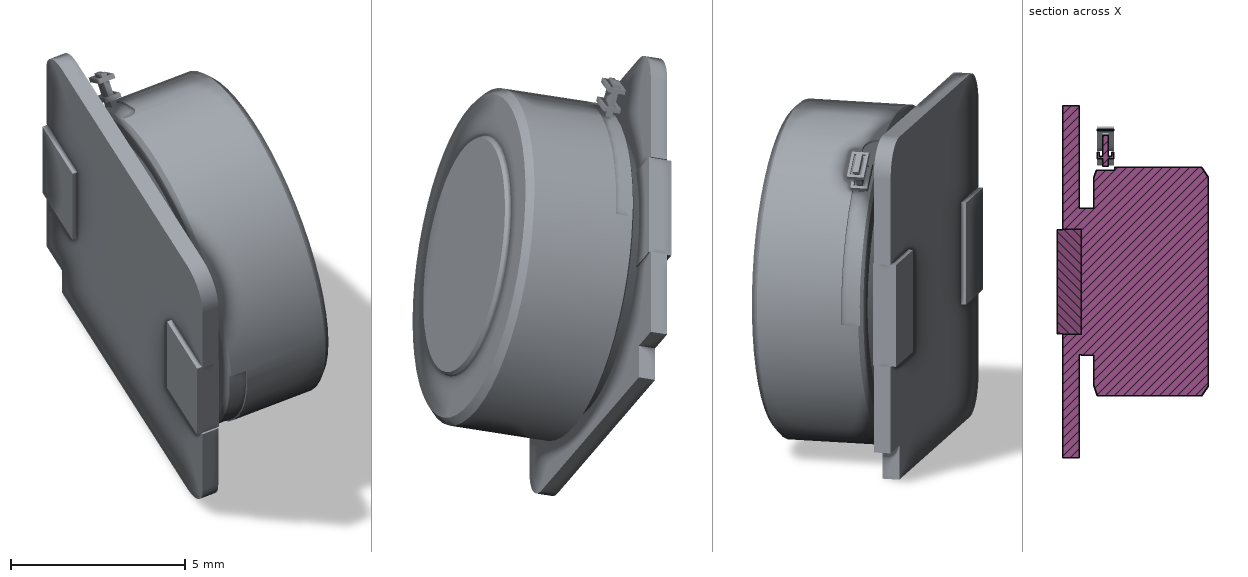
import cadquery as cq

BASE_SIDE = 10.1
BASE_THICKNESS = 0.5
BASE_CORNER_RADIUS = 1.0
KEY_NOTCH = 1.0

PAD_STANDOFF = 0.15
PAD_LENGTH = 1.95
PAD_WIDTH = 3.0
PAD_EDGE_GAP = 0.05
PAD_TOP_RISE = 0.04

NECK_RADIUS = 4.2
NECK_HEIGHT = 0.4
RING_RADIUS = 4.9
RING_HEIGHT = 3.3
RING_LOWER_CHAMFER_HEIGHT = 0.1
RING_LOWER_CHAMFER_WIDTH = 0.2
RING_UPPER_CHAMFER = 0.2
CAP_RADIUS = 3.5
CAP_HEIGHT = 0.15
CAP_CHAMFER = 0.1

RECESS_DEPTH = 0.06
RECESS_TOP_ABOVE_RING = 0.6
RECESS_CORNER_RADIUS = 0.35
RECESS_LOW_Z = -0.4
RECESS_END_X = -2.07

LUG_ANGLE = 134.0
LUG_FLANGE_HEIGHT = 0.5
LUG_ABOVE_RING = 0.34
LUG_FLANGE_WIDTH = 0.86
LUG_FLANGE_THICKNESS = 0.14
LUG_RIM_WIDTH = 0.08
LUG_RIM_HEIGHT = 0.08
LUG_FLANGE_RADII = (5.05, 5.63)
LUG_STEM_WIDTH = 0.62
LUG_STEM_HEIGHT = 0.17
LUG_STEM_INNER_RADIUS = 4.7
LUG_OUTER_RADIUS = 5.85

base_bottom = PAD_STANDOFF
base_top = base_bottom + BASE_THICKNESS
ring_bottom = base_top + NECK_HEIGHT
ring_top = ring_bottom + RING_HEIGHT
cap_top = ring_top + CAP_HEIGHT
pad_height = base_top + PAD_TOP_RISE

pad_outer_x = BASE_SIDE / 2 - PAD_EDGE_GAP
pad_inner_x = pad_outer_x - PAD_LENGTH

SIDES = (-1, 1)
RECESS_TURNS = (0, 180)


def box_between(x_range, y_range, z_range):
    """Box spanning the given ranges along X, Y and Z."""
    low, high = zip(x_range, y_range, z_range)
    size = [b - a for a, b in zip(low, high)]
    return cq.Workplane("XY").box(*size, centered=False).translate(low)


def make_base():
    """Square plate with three rounded corners and one stepped key corner."""
    half = BASE_SIDE / 2
    plate = (
        cq.Workplane("XY")
        .box(BASE_SIDE, BASE_THICKNESS, BASE_SIDE)
        .translate((0, (base_bottom + base_top) / 2, 0))
    )
    plate = plate.edges("|Y").edges(">X or >Z").fillet(BASE_CORNER_RADIUS)
    notch = box_between((-half, -half + KEY_NOTCH), (base_bottom, base_top), (-half, -half + KEY_NOTCH))
    return plate.cut(notch)


def make_core():
    """Turned neck, chamfered ring and raised cap."""
    profile = (
        cq.Workplane("XY")
        .moveTo(0, base_top)
        .lineTo(NECK_RADIUS, base_top)
        .lineTo(NECK_RADIUS, ring_bottom)
        .lineTo(RING_RADIUS - RING_LOWER_CHAMFER_WIDTH, ring_bottom)
        .lineTo(RING_RADIUS, ring_bottom + RING_LOWER_CHAMFER_HEIGHT)
        .lineTo(RING_RADIUS, ring_top - RING_UPPER_CHAMFER)
        .lineTo(RING_RADIUS - RING_UPPER_CHAMFER, ring_top)
        .lineTo(CAP_RADIUS, ring_top)
        .lineTo(CAP_RADIUS - CAP_CHAMFER, cap_top)
        .lineTo(0, cap_top)
        .close()
    )
    return profile.revolve(360, (0, 0, 0), (0, 1, 0))


def make_side_recess():
    """Shallow band cut into the lower rim of the ring on its -X, +Z quarter."""
    recess_top = ring_bottom + RECESS_TOP_ABOVE_RING
    outline = box_between(
        (-BASE_SIDE, RECESS_END_X), (ring_bottom, recess_top), (RECESS_LOW_Z, BASE_SIDE)
    )
    outline = outline.edges("|Z and >X and >Y").fillet(RECESS_CORNER_RADIUS)
    floor = (
        cq.Workplane("XZ")
        .circle(RING_RADIUS - RECESS_DEPTH)
        .extrude(-2 * ring_top)
    )
    return outline.cut(floor)


def make_lug_flange(inner_radius, center_y):
    """Thin rectangular flange with a raised rim along its outward edge."""
    outer_radius = inner_radius + LUG_FLANGE_THICKNESS
    half_height = LUG_FLANGE_HEIGHT / 2
    half_width = LUG_FLANGE_WIDTH / 2
    flange = box_between(
        (inner_radius, outer_radius),
        (center_y - half_height, center_y + half_height),
        (-half_width, half_width),
    )
    hollow_half_height = half_height - LUG_RIM_WIDTH
    hollow_half_width = half_width - LUG_RIM_WIDTH
    hollow = box_between(
        (outer_radius - LUG_RIM_HEIGHT, outer_radius),
        (center_y - hollow_half_height, center_y + hollow_half_height),
        (-hollow_half_width, hollow_half_width),
    )
    return flange.cut(hollow)


def make_lug():
    """Small lug standing out radially from the recess floor: a flat stem with flanges."""
    center_y = ring_bottom + LUG_ABOVE_RING
    lug = box_between(
        (LUG_STEM_INNER_RADIUS, LUG_OUTER_RADIUS),
        (center_y - LUG_STEM_HEIGHT / 2, center_y + LUG_STEM_HEIGHT / 2),
        (-LUG_STEM_WIDTH / 2, LUG_STEM_WIDTH / 2),
    )
    for inner_radius in LUG_FLANGE_RADII:
        lug = lug.union(make_lug_flange(inner_radius, center_y))
    return lug.rotate((0, 0, 0), (0, 1, 0), -LUG_ANGLE)


def make_pad_block(side, outer_x):
    """Pad-sized block reaching out to outer_x; side is -1 for -X and +1 for +X."""
    x_range = sorted((side * outer_x, side * pad_inner_x))
    return box_between(x_range, (0, pad_height), (-PAD_WIDTH / 2, PAD_WIDTH / 2))


def make_pad(side):
    """Terminal block set through the plate, just inside the plate's edge."""
    return make_pad_block(side, pad_outer_x)


def make_pad_opening(side):
    """Opening for one pad, running out through the plate's edge."""
    return make_pad_block(side, BASE_SIDE / 2)


def make_housing():
    """Plate, core and lug as one solid, with the rim recesses and pad openings cut."""
    housing = make_base().union(make_core())
    for turn in RECESS_TURNS:
        housing = housing.cut(make_side_recess().rotate((0, 0, 0), (0, 1, 0), turn))
    housing = housing.union(make_lug())
    for side in SIDES:
        housing = housing.cut(make_pad_opening(side))
    return housing


housing = make_housing()
pads = [make_pad(side) for side in SIDES]

result = cq.Compound.makeCompound([housing.val(), *[pad.val() for pad in pads]])